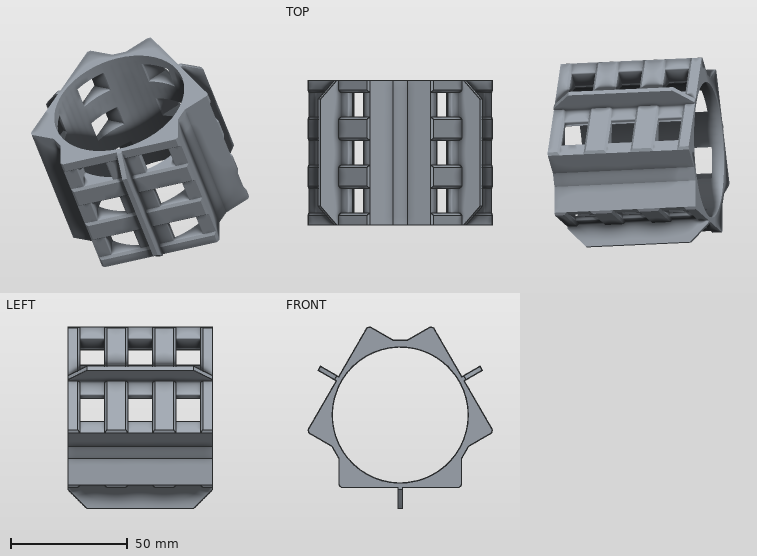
import cadquery as cq
import math

overall_width = 78.85
length = 61.8
bore_radius = 29.0
hub_flat_radius = 32.0
panel_count = 3
panel_step = 360 / panel_count

floor_radius = 30.0
rib_height = 1.0

rows = 3
row_pitch = 20.5
window_length = 10.4
window_near = 7.0
window_far = 20.7
edge_radius = 0.5
lip_reach = 0.5
lip_radius = 29.3

fin_thickness = 2.05
fin_tip_radius = 40.0
fin_chamfer = 8.05
fin_root_radius = 0.6

face_radius = floor_radius + rib_height
upper_tilt = math.radians(panel_step - 90)
face_half_width = (overall_width / 2 - face_radius * math.cos(upper_tilt)) / math.sin(upper_tilt)
panel_half_width = face_half_width + rib_height
wall_near = window_near + edge_radius
wall_far = window_far - edge_radius
row_positions = [(i - (rows - 1) / 2) * row_pitch for i in range(rows)]
round_midpoint = 1 - math.sqrt(0.5)


def around_axis(shape, index):
    """Turn a bottom-panel shape to the panel with the given index."""
    return shape.rotate((0, 0, 0), (0, 1, 0), index * panel_step)


def box_between(x_range, y_range, z_range):
    """Axis-aligned box spanning the given (low, high) ranges."""
    ranges = (x_range, y_range, z_range)
    sizes = [high - low for low, high in ranges]
    corner = tuple(low for low, high in ranges)
    return cq.Workplane("XY").box(*sizes, centered=False).translate(corner)


def cylinder(radius):
    """Cylinder along the centre axis, over the part's length."""
    return cq.Workplane("XZ").circle(radius).extrude(length / 2, both=True)


def hub():
    """Triangular prism with its flats between the panels and its corners cut off at the floors."""
    corner_radius = hub_flat_radius / math.cos(math.pi / panel_count)
    corners = []
    for i in range(panel_count):
        angle = math.radians(-90 + i * panel_step)
        corners.append((corner_radius * math.cos(angle), corner_radius * math.sin(angle)))
    prism = cq.Workplane("XZ").polyline(corners).close().extrude(length / 2, both=True)
    corner_cut = box_between(
        (-corner_radius, corner_radius), (-length, length), (-corner_radius, -floor_radius)
    )
    for i in range(panel_count):
        prism = prism.cut(around_axis(corner_cut, i))
    return prism


def panel():
    """Solid bottom panel with bevelled side edges on its outer face."""
    half = panel_half_width
    outline = [
        (-half, 0),
        (-half, -floor_radius),
        (-face_half_width, -face_radius),
        (face_half_width, -face_radius),
        (half, -floor_radius),
        (half, 0),
    ]
    return cq.Workplane("XZ").polyline(outline).close().extrude(length / 2, both=True)


def recess():
    """Channel between two ribs across the whole panel, widening outwards at 45 degrees."""
    half = window_length / 2
    outline = [
        (-half, -floor_radius),
        (half, -floor_radius),
        (half + rib_height, -face_radius),
        (-half - rib_height, -face_radius),
    ]
    return cq.Workplane("YZ").polyline(outline).close().extrude(panel_half_width, both=True)


def window():
    """Opening on the +X side of the fin, from the recess floor into the bore."""
    y_range = (-window_length / 2, window_length / 2)

    lip_corners = cq.selectors.BoxSelector(
        (0, -length, -floor_radius + edge_radius),
        (panel_half_width, length, 0),
    )
    straight = (
        box_between((wall_near, wall_far), y_range, (-floor_radius, 0))
        .cut(cylinder(lip_radius))
        .edges("|Y")
        .edges(lip_corners)
        .fillet(edge_radius)
    )

    passage = box_between((wall_near + lip_reach, wall_far - lip_reach), y_range, (-floor_radius, 0))

    round_bottom = -floor_radius + edge_radius
    round_middle = -floor_radius + round_midpoint * edge_radius
    inset = (1 - round_midpoint) * edge_radius
    flare = (
        cq.Workplane("XZ")
        .moveTo(window_near, -floor_radius)
        .threePointArc((window_near + inset, round_middle), (wall_near, round_bottom))
        .lineTo(wall_far, round_bottom)
        .threePointArc((window_far - inset, round_middle), (window_far, -floor_radius))
        .close()
        .extrude(window_length / 2, both=True)
    )
    return straight.union(passage).union(flare)


def fin():
    """Central fin of the bottom panel, with its tip corners cut off and its root rounded."""
    half = length / 2
    side_outline = [
        (-half, -floor_radius),
        (-half, -fin_tip_radius + fin_chamfer),
        (-half + fin_chamfer, -fin_tip_radius),
        (half - fin_chamfer, -fin_tip_radius),
        (half, -fin_tip_radius + fin_chamfer),
        (half, -floor_radius),
    ]
    edge = fin_thickness / 2
    root_half = edge + fin_root_radius
    root_end = -floor_radius - fin_root_radius
    round_x = edge + round_midpoint * fin_root_radius
    round_z = -floor_radius - round_midpoint * fin_root_radius
    blade = cq.Workplane("YZ").polyline(side_outline).close().extrude(root_half, both=True)
    section = (
        cq.Workplane("XZ")
        .moveTo(-root_half, -floor_radius)
        .threePointArc((-round_x, round_z), (-edge, root_end))
        .lineTo(-edge, -fin_tip_radius)
        .lineTo(edge, -fin_tip_radius)
        .lineTo(edge, root_end)
        .threePointArc((round_x, round_z), (root_half, -floor_radius))
        .close()
        .extrude(half, both=True)
    )
    return blade.intersect(section)


window_right = window()
window_left = window_right.mirror("YZ")

body = hub()
for index in range(panel_count):
    body = body.union(around_axis(panel(), index))
body = body.cut(cylinder(bore_radius))

for index in range(panel_count):
    for y in row_positions:
        for opening in (recess(), window_right, window_left):
            body = body.cut(around_axis(opening.translate((0, y, 0)), index))
    body = body.union(around_axis(fin(), index))

result = body